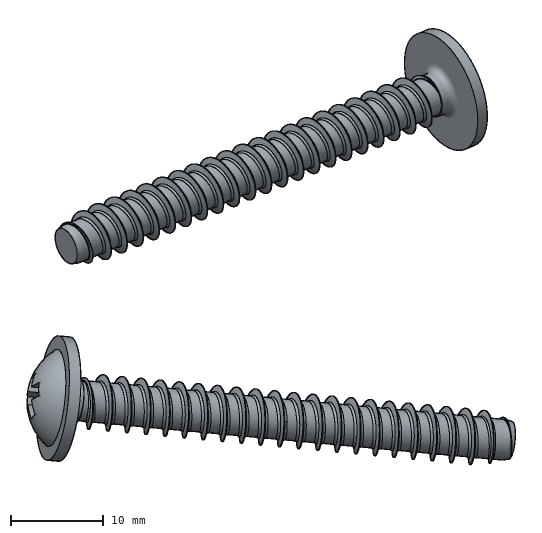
import cadquery as cq
import math


overall_length = 53.9
shank_length = 50.0
head_height = overall_length - shank_length

flange_radius = 13.5 / 2
flange_thickness = 1.3
dome_base_radius = 5.3

recess_slot_width = 1.5
recess_radius = 2.35
recess_depth = 1.6

neck_radius = 2.35
neck_fillet = 0.75
neck_length = 1.55
core_radius = 2.2
tip_radius = 2.05
tip_taper_length = 0.65

thread_radius = 3.0
thread_start = -1.3
thread_end = -49.85
thread_turns = 22.7
lead_in_turns = 0.8
run_out_turns = 1.5
crest_half_width = 0.045
ridge_flank_angle = 15.0
flare_flank_angle = 70.0
flare_height = 0.1
root_embed = 0.05
end_scale = 0.05
samples_per_stretch = 12

recess_corner_radius = recess_slot_width / math.sqrt(2)
dome_rise = head_height - flange_thickness
dome_center_y = flange_thickness + (
    dome_rise**2 + recess_corner_radius**2 - dome_base_radius**2
) / (2 * dome_rise)
dome_radius = math.hypot(dome_base_radius, flange_thickness - dome_center_y)
dome_apex_y = dome_center_y + dome_radius


def make_blank():
    """Head, neck and tapered-tip core revolved about the Y axis."""
    mid_angle = math.atan2(flange_thickness - dome_center_y, dome_base_radius) / 2 + math.pi / 4
    dome_mid = (dome_radius * math.cos(mid_angle), dome_center_y + dome_radius * math.sin(mid_angle))
    fillet_offset = neck_fillet * (1 - math.sqrt(0.5))
    fillet_mid = (neck_radius + fillet_offset, -fillet_offset)
    return (
        cq.Workplane("XY")
        .moveTo(0, -shank_length)
        .lineTo(tip_radius, -shank_length)
        .lineTo(core_radius, tip_taper_length - shank_length)
        .lineTo(core_radius, -neck_length)
        .lineTo(neck_radius, -neck_length)
        .lineTo(neck_radius, -neck_fillet)
        .threePointArc(fillet_mid, (neck_radius + neck_fillet, 0))
        .lineTo(flange_radius, 0)
        .lineTo(flange_radius, flange_thickness)
        .lineTo(dome_base_radius, flange_thickness)
        .threePointArc(dome_mid, (0, dome_apex_y))
        .close()
        .revolve(360, (0, 0, 0), (0, 1, 0))
    )


def make_recess():
    """Cross recess sunk into the dome along -Y."""
    arm_length = 2 * recess_radius
    floor_y = head_height - recess_depth
    height = dome_apex_y - floor_y
    center_y = (dome_apex_y + floor_y) / 2
    arm_x = cq.Workplane("XY").box(arm_length, height, recess_slot_width)
    arm_z = cq.Workplane("XY").box(recess_slot_width, height, arm_length)
    return arm_x.union(arm_z).translate((0, center_y, 0))


def thread_scale(turn):
    """Relative thread size: full in the middle, fading toward both ends."""
    return max(end_scale, min(1.0, turn / lead_in_turns, (thread_turns - turn) / run_out_turns))


def helix_edge(height, offset, first_turn, last_turn):
    """Right-hand curve at a height above the core and an axial offset from the ridge centre."""
    points = []
    for index in range(samples_per_stretch + 1):
        turn = first_turn + (last_turn - first_turn) * index / samples_per_stretch
        angle = 2 * math.pi * turn
        scale = thread_scale(turn)
        radius = core_radius + (height * scale if height > 0 else height)
        y = thread_start + (thread_end - thread_start) * turn / thread_turns + offset * scale
        points.append(cq.Vector(radius * math.cos(angle), y, radius * math.sin(angle)))
    return cq.Edge.makeSpline(points)


def end_face(edges, position):
    """Flat face closing the ridge at the start (0) or the end (1) of its edges."""
    corners = [edge.positionAt(position) for edge in edges]
    return cq.Face.makeFromWires(cq.Wire.makePolygon(corners, close=True))


def make_thread():
    """Helical ridge with steep upper flanks and a shallow flare at the root."""
    crest_height = thread_radius - core_radius
    flare_top = crest_half_width + (crest_height - flare_height) * math.tan(math.radians(ridge_flank_angle))
    flare_base = flare_top + (flare_height + root_embed) * math.tan(math.radians(flare_flank_angle))
    one_side = [
        (-root_embed, flare_base),
        (flare_height, flare_top),
        (crest_height, crest_half_width),
    ]
    profile = one_side + [(height, -offset) for height, offset in reversed(one_side)]
    full_turns = thread_turns - lead_in_turns - run_out_turns
    stretch_count = math.ceil(full_turns)
    breaks = [lead_in_turns + full_turns * index / stretch_count for index in range(stretch_count + 1)]
    breaks = [0.0] + breaks + [thread_turns]
    faces = []
    for first_turn, last_turn in zip(breaks, breaks[1:]):
        edges = [helix_edge(height, offset, first_turn, last_turn) for height, offset in profile]
        faces += [cq.Face.makeRuledSurface(edges[index - 1], edge) for index, edge in enumerate(edges)]
        if first_turn == breaks[0]:
            faces.append(end_face(edges, 0))
    faces.append(end_face(edges, 1))
    return cq.Workplane(cq.Solid.makeSolid(cq.Shell.makeShell(faces)))


screw = make_blank().cut(make_recess()).union(make_thread())
result = screw.solids()